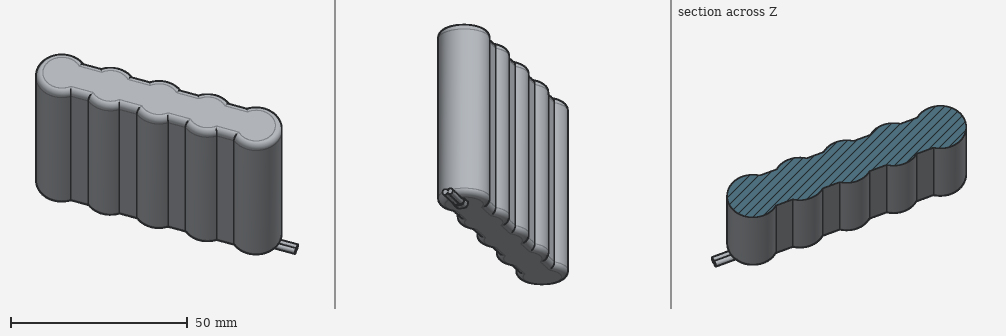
import cadquery as cq


cell_count = 5
cell_radius = 7.35
pack_length = 72.7
pack_height = 52.6
web_width = 11.4
rim_fillet = 1.9

cell_row_length = pack_length - 2 * cell_radius
cell_pitch = cell_row_length / (cell_count - 1)

overall_length = 77.4
sheath_width = 3.4
sheath_drop = 1.9
sheath_fillet = 1.1
sheath_embed = 0.8
bend_radius = 2.0
bend_inset = 5.3
sheath_straight = 1.9
wire_depth = 0.8
wire_radius = 0.85
wire_spacing = 1.5
wire_overlap = 0.8

bend_end_x = pack_length / 2 - bend_inset
sheath_end_x = bend_end_x + sheath_straight
wire_start_x = sheath_end_x - wire_overlap
wire_end_x = overall_length - pack_length / 2


def make_pack():
    """Cells joined by a flat-sided web, with rounded top and bottom rims."""
    pack = cq.Workplane("XY").box(cell_row_length, web_width, pack_height, centered=(True, True, False))
    for index in range(cell_count):
        cell_x = index * cell_pitch - cell_row_length / 2
        cell = cq.Workplane("XY").center(cell_x, 0).circle(cell_radius).extrude(pack_height)
        pack = pack.union(cell)
    return pack.faces("<Z or >Z").edges().fillet(rim_fillet)


def make_sheath():
    """Flat-sided block with a round outer bend and softened outer edges."""
    length = bend_radius + sheath_straight
    height = sheath_embed + sheath_drop
    sheath = (
        cq.Workplane("XY", origin=(sheath_end_x - length / 2, 0, -sheath_drop))
        .box(length, sheath_width, height, centered=(True, True, False))
    )
    sheath = sheath.faces("<X").edges("<Z").fillet(bend_radius)
    return sheath.faces("<Z").edges("|X").fillet(sheath_fillet)


def make_wires():
    """Two round wires side by side."""
    section = cq.Workplane("YZ", origin=(wire_start_x, 0, -wire_depth))
    wires = section.center(-wire_spacing / 2, 0).circle(wire_radius).extrude(wire_end_x - wire_start_x)
    return wires.union(wires.mirror("XZ"))


result = make_pack().union(make_sheath()).union(make_wires())